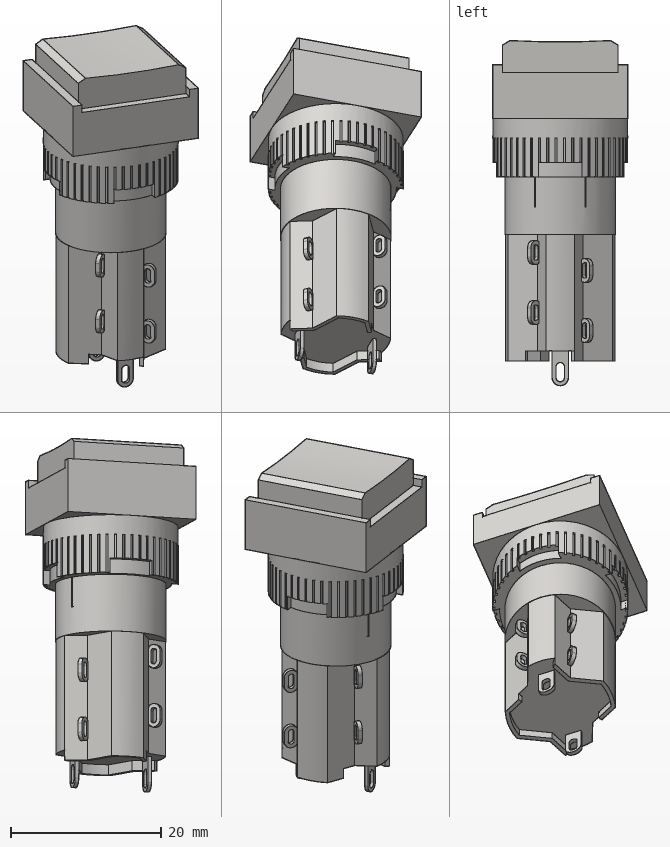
import cadquery as cq
import math

top_z = 46.0
bezel_top_z = 42.8
cap_seat_z = 41.75
bezel_bottom_z = 35.6
knurl_top_z = 33.0
ring_notch_top_z = 29.77
ring_bottom_z = 27.85
latch_bottom_z = 23.85
barrel_bottom_z = 20.15
base_floor_z = 4.65
skirt_bottom_z = 3.25

cap_width = 15.4
bevel_run = 1.0
bevel_drop = 0.6
dish_depth = 0.2

bezel_width = 18.0
barrel_diameter = 14.75
latch_width = 6.63
latch_slit_width = 0.15
latch_slit_depth = 0.45

ring_diameter = bezel_width
ring_notch_width = 5.85
ring_notch_floor_diameter = 16.2
knurl_count = 50
knurl_width = 0.28
knurl_depth = 0.28

contact_diameter = 14.7
y_lobe_half_width = 2.25
x_lobe_half_width = 1.9
groove_corner_x = 4.3
groove_corner_y = 3.05
skirt_wall = 0.55
skirt_cut_y = 4.6
skirt_end_x = 6.5
skirt_end_y = 1.4

bottom_terminal_width = 2.2
bottom_terminal_thickness = 0.5
bottom_terminal_hole_width = 1.1
bottom_terminal_x = 5.1
bottom_terminal_hole_length = 2.55
side_terminal_width = 1.95
side_terminal_height = 3.18
side_terminal_thickness = 0.6
side_terminal_hole_width = 0.85
side_terminal_hole_length = 2.05
side_terminal_offset = 1.1
side_terminal_pitch = 8.0
low_side_terminal_z = 7.35
high_side_terminal_z = 9.75
side_terminal_reach = 6.95

barrel_radius = barrel_diameter / 2
contact_radius = contact_diameter / 2
ring_radius = ring_diameter / 2


def cylinder(diameter, bottom_z, upper_z):
    """Upright cylinder on the part axis."""
    return cq.Workplane("XY").workplane(offset=bottom_z).circle(diameter / 2).extrude(upper_z - bottom_z)


def block(size_x, size_y, bottom_z, upper_z):
    """Upright rectangular block centred on the part axis."""
    return cq.Workplane("XY").workplane(offset=bottom_z).rect(size_x, size_y).extrude(upper_z - bottom_z)


def make_cap():
    """Push button with two bevelled edges and a shallow dish across the top."""
    half = cap_width / 2
    rim = half - bevel_run
    profile = (
        cq.Workplane("YZ")
        .moveTo(-half, cap_seat_z)
        .lineTo(half, cap_seat_z)
        .lineTo(half, top_z - bevel_drop)
        .lineTo(rim, top_z)
        .threePointArc((0, top_z - dish_depth), (-rim, top_z))
        .lineTo(-half, top_z - bevel_drop)
        .close()
    )
    return profile.extrude(half, both=True)


def make_bezel():
    """Square head with a channel along X that seats the cap."""
    head = block(bezel_width, bezel_width, bezel_bottom_z, bezel_top_z)
    return head.cut(block(bezel_width, cap_width, cap_seat_z, bezel_top_z))


def make_barrel():
    """Round barrel with a latch tongue between two slits on the -X side."""
    barrel = cylinder(barrel_diameter, barrel_bottom_z, bezel_bottom_z)
    slit_y = (latch_width + latch_slit_width) / 2
    slit_floor_x = math.sqrt(barrel_radius**2 - slit_y**2) - latch_slit_depth
    for side in (-1, 1):
        slit = block(barrel_radius, latch_slit_width, latch_bottom_z, ring_bottom_z)
        barrel = barrel.cut(slit.translate((-slit_floor_x - barrel_radius / 2, side * slit_y, 0)))
    return barrel


def contact_outline(bottom_z):
    """Outline of the contact block: four arcs joined by V-shaped grooves."""
    y_lobe = (y_lobe_half_width, math.sqrt(contact_radius**2 - y_lobe_half_width**2))
    x_lobe = (math.sqrt(contact_radius**2 - x_lobe_half_width**2), x_lobe_half_width)
    corner = (groove_corner_x, groove_corner_y)
    return (
        cq.Workplane("XY")
        .workplane(offset=bottom_z)
        .moveTo(x_lobe[0], -x_lobe[1])
        .threePointArc((contact_radius, 0), x_lobe)
        .lineTo(*corner)
        .lineTo(*y_lobe)
        .threePointArc((0, contact_radius), (-y_lobe[0], y_lobe[1]))
        .lineTo(-corner[0], corner[1])
        .lineTo(-x_lobe[0], x_lobe[1])
        .threePointArc((-contact_radius, 0), (-x_lobe[0], -x_lobe[1]))
        .lineTo(-corner[0], -corner[1])
        .lineTo(-y_lobe[0], -y_lobe[1])
        .threePointArc((0, -contact_radius), (y_lobe[0], -y_lobe[1]))
        .lineTo(corner[0], -corner[1])
        .close()
    )


def make_skirt_opening():
    """Prism that removes the skirt around the +X lobe, as far as the +X -Y groove."""
    wall_run_x = groove_corner_x - y_lobe_half_width
    wall_run_y = math.sqrt(contact_radius**2 - y_lobe_half_width**2) - groove_corner_y
    wall_length = math.hypot(wall_run_x, wall_run_y)
    cut_x = groove_corner_x - wall_run_x * (skirt_cut_y - groove_corner_y) / wall_run_y
    reach_x = 1.5 * skirt_wall * wall_run_y / wall_length
    reach_y = 1.5 * skirt_wall * wall_run_x / wall_length
    lobe_end_x = math.sqrt(contact_radius**2 - x_lobe_half_width**2)
    slant_x = lobe_end_x - skirt_end_x
    slant_y = x_lobe_half_width - skirt_end_y
    return (
        cq.Workplane("XY")
        .workplane(offset=skirt_bottom_z)
        .polyline([
            (cut_x - reach_x, -skirt_cut_y + reach_y),
            (cut_x + reach_x, -skirt_cut_y - reach_y),
            (ring_radius, -skirt_cut_y - reach_y),
            (ring_radius, x_lobe_half_width),
            (lobe_end_x, x_lobe_half_width),
            (lobe_end_x - 2 * slant_x, x_lobe_half_width - 2 * slant_y),
        ])
        .close()
        .extrude(base_floor_z - skirt_bottom_z)
    )


def make_contact_block():
    """Grooved block with a hollow skirt below its floor, open around both X lobes."""
    body = contact_outline(base_floor_z).extrude(barrel_bottom_z - base_floor_z)
    skirt_height = base_floor_z - skirt_bottom_z
    skirt = contact_outline(skirt_bottom_z).extrude(skirt_height)
    skirt = skirt.cut(contact_outline(skirt_bottom_z).offset2D(-skirt_wall, 'intersection').extrude(skirt_height))
    opening = make_skirt_opening()
    for turn in (0, 180):
        skirt = skirt.cut(opening.rotate((0, 0, 0), (0, 0, 1), turn))
    return body.union(skirt)


def make_bottom_terminal(center_x):
    """Flat terminal with a rounded tip and a slotted hole, hanging from the floor."""
    tip_radius = bottom_terminal_width / 2
    rim = (bottom_terminal_width - bottom_terminal_hole_width) / 2
    sheet = cq.Workplane("YZ").workplane(offset=center_x)
    blade = (
        sheet.moveTo(-tip_radius, base_floor_z)
        .lineTo(-tip_radius, tip_radius)
        .threePointArc((0, 0), (tip_radius, tip_radius))
        .lineTo(tip_radius, base_floor_z)
        .close()
        .extrude(bottom_terminal_thickness / 2, both=True)
    )
    hole = (
        sheet.center(0, rim + bottom_terminal_hole_length / 2)
        .slot2D(bottom_terminal_hole_length, bottom_terminal_hole_width, 90)
        .extrude(bottom_terminal_thickness, both=True)
    )
    return blade.cut(hole)


def make_side_terminal(center_z):
    """Upright oval terminal with a slotted hole, standing out along +X."""
    center_x = side_terminal_reach - side_terminal_width / 2
    sheet = cq.Workplane("XZ", origin=(center_x, side_terminal_offset, center_z))
    plate = sheet.slot2D(side_terminal_height, side_terminal_width, 90)
    plate = plate.extrude(side_terminal_thickness / 2, both=True)
    hole = sheet.slot2D(side_terminal_hole_length, side_terminal_hole_width, 90)
    hole = hole.extrude(side_terminal_thickness, both=True)
    return plate.cut(hole)


def make_housing():
    """Bezel, barrel, contact block and terminals in one piece."""
    housing = make_bezel().union(make_barrel()).union(make_contact_block())
    for center_x in (-bottom_terminal_x, bottom_terminal_x):
        housing = housing.union(make_bottom_terminal(center_x))
    for angle in (45, 135, 225, 315):
        lowest_z = low_side_terminal_z if angle in (45, 225) else high_side_terminal_z
        for row in range(2):
            terminal = make_side_terminal(lowest_z + row * side_terminal_pitch)
            if angle in (45, 225):
                terminal = terminal.mirror("XZ")
            housing = housing.union(terminal.rotate((0, 0, 0), (0, 0, 1), angle))
    return housing


def make_ring():
    """Locking ring with knurl slots and four notches in its lower edge."""
    ring = cylinder(ring_diameter, ring_bottom_z, bezel_bottom_z)
    notch_core = cylinder(ring_notch_floor_diameter, ring_bottom_z, ring_notch_top_z)
    for size in ((2 * ring_diameter, ring_notch_width), (ring_notch_width, 2 * ring_diameter)):
        ring = ring.cut(block(*size, ring_bottom_z, ring_notch_top_z).cut(notch_core))
    slots = (
        cq.Workplane("XY")
        .workplane(offset=ring_bottom_z)
        .polarArray(ring_radius, -90, 360, knurl_count)
        .rect(2 * knurl_depth, knurl_width)
        .extrude(knurl_top_z - ring_bottom_z)
    )
    ring = ring.cut(slots)
    return ring.cut(cylinder(barrel_diameter, ring_bottom_z, bezel_bottom_z))


cap = make_cap()
housing = make_housing()
ring = make_ring()

result = cq.Compound.makeCompound([cap.val(), housing.val(), ring.val()])